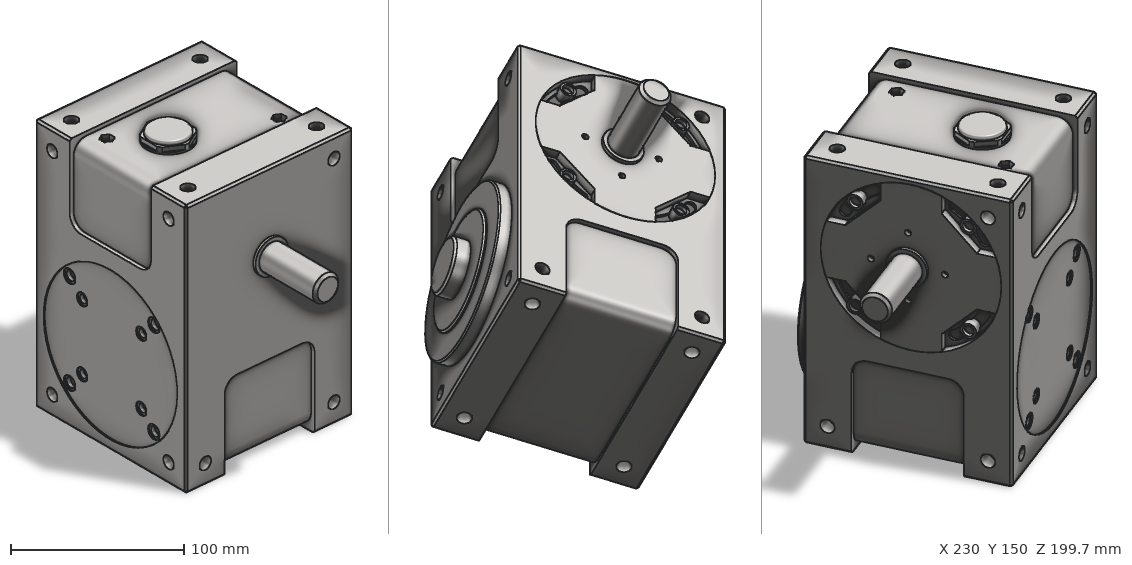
import cadquery as cq
import math

body_width = 130.0
body_height = 195.0
half_width = body_width / 2
edge_chamfer = 1.5
output_axis_z = 65.0
input_axis_z = 135.0

relief_width = 70.0
relief_depth = 3.0
relief_corner_radius = 10.0
relief_edge_radius = 10.0
relief_length = 60.0
top_relief_floor_z = body_height - relief_length
bottom_relief_ceiling_z = 65.0

mount_radius = 4.5
mount_depth = 15.0
mount_inset = 15.0
mount_offset = half_width - mount_inset

shaft_length = 230.0
shaft_radius = 10.0
shaft_chamfer = 2.0
collar_radius = 12.75
collar_height = 2.0

eccentric_y = -2.0
eccentric_radius = 56.25
eccentric_recess = 0.3
ear_inner = 19.0
ear_chord_distance = 42.4
ear_depth = 6.0
slot_radius = 50.0
slot_half_angle = 15.5
slot_width = 7.0
slot_depth = 2.0
clamp_head_radius = 5.0
clamp_head_height = 5.0
clamp_socket_radius = 3.5
clamp_socket_depth = 3.0
seal_cap_radius = 27.75
seal_bore_radius = 19.25
seal_hole_radius = 23.0
seal_hole_diameter = 4.0
seal_hole_depth = 4.0

cover_radius = 57.5
cover_recess = 1.0
cover_cap_radius = 42.0
outer_screw_offset = 36.2
inner_screw_offset = 25.4
outer_screw_diameter = 10.0
inner_screw_diameter = 9.0
outer_socket_diameter = 7.0
inner_socket_diameter = 6.0
screw_sink = 1.0
socket_depth = 4.0

flange_radius = 55.0
flange_height = 8.0
flange_chamfer = 1.0
ring_radius = 37.5
ring_height = 10.0
ring_chamfer = 1.2
output_boss_radius = 18.0
output_boss_height = 20.0
output_boss_chamfer = 1.5

top_plane_z = body_height - relief_depth
breather_y = -20.0
breather_top_z = 199.7
breather_base_radius = 16.5
breather_base_height = 1.5
breather_hex_flats = 30.0
breather_hex_height = 4.8
breather_cap_radius = 14.2
breather_cap_fillet = 2.2
plug_radius = 8.5
plug_hex_flats = 8.0
plug_hex_depth = 5.0
plug_centers = [(25.0, 43.5), (-25.0, -45.0)]

insert_thickness = 1.0

SIGNS = (-1, 1)


def cylinder(radius, length, start, direction):
    return cq.Workplane(obj=cq.Solid.makeCylinder(radius, length, cq.Vector(*start), cq.Vector(*direction)))


def keep_seam(solid, region):
    """Split the faces along the rim of a flush insert; the shape itself stays the same."""
    insert = solid.intersect(region, clean=False)
    return solid.cut(region, clean=False).union(insert, clean=False)


def make_body():
    """Chamfered block with a relief band over the top and another under the bottom."""
    block = (
        cq.Workplane("XY")
        .box(body_width, body_width, body_height, centered=(True, True, False))
        .edges()
        .chamfer(edge_chamfer)
    )
    core_width = body_width - 2 * relief_depth
    core_height = body_height - 2 * relief_depth
    core = cq.Workplane("XY").workplane(offset=relief_depth)
    core = core.box(core_width, core_width, core_height, centered=(True, True, False))
    top_core = core.edges("|X and >Z").fillet(relief_edge_radius)
    bottom_core = core.edges("|Y and <Z").fillet(relief_edge_radius)

    overrun = 2 * relief_corner_radius
    band_length = relief_length + overrun
    top_band = (
        cq.Workplane("XZ")
        .center(0, top_relief_floor_z + band_length / 2)
        .rect(relief_width, band_length)
        .extrude(body_width, both=True)
        .edges("|Y and <Z")
        .fillet(relief_corner_radius)
    )
    bottom_band_length = bottom_relief_ceiling_z + overrun
    bottom_band = (
        cq.Workplane("YZ")
        .center(0, bottom_relief_ceiling_z - bottom_band_length / 2)
        .rect(relief_width, bottom_band_length)
        .extrude(body_width, both=True)
        .edges("|X and >Z")
        .fillet(relief_corner_radius)
    )
    return block.cut(top_band.cut(top_core)).cut(bottom_band.cut(bottom_core))


def cut_mounting_holes(solid):
    """Four holes on each of the six faces; the three at every corner meet."""
    for a in SIGNS:
        for b in SIGNS:
            x = a * mount_offset
            y = b * mount_offset
            for z, face_z, inward in ((mount_inset, 0, 1), (body_height - mount_inset, body_height, -1)):
                y_hole = cylinder(mount_radius, mount_depth, (x, b * half_width, z), (0, -b, 0))
                x_hole = cylinder(mount_radius, mount_depth, (a * half_width, y, z), (-a, 0, 0))
                z_hole = cylinder(mount_radius, mount_depth, (x, y, face_z), (0, 0, inward))
                corner_holes = y_hole.union(x_hole, clean=False).union(z_hole, clean=False)
                solid = solid.cut(corner_holes, clean=False)
    return solid


def side_plane(depth):
    """Sketch plane on the -X face at a depth below it; local x is -Y, local y is Z."""
    return cq.Plane(
        origin=(-half_width + depth, eccentric_y, input_axis_z), xDir=(0, -1, 0), normal=(-1, 0, 0)
    )


def clamp_slot():
    """Curved clamping slot centred on the +45 degree diagonal of the eccentric housing."""
    def at(radius, angle):
        return (radius * math.cos(math.radians(angle)), radius * math.sin(math.radians(angle)))

    first = 45 - slot_half_angle
    last = 90 - first
    inner = slot_radius - slot_width / 2
    outer = slot_radius + slot_width / 2
    step = math.degrees(slot_width / 2 / slot_radius)
    return (
        cq.Workplane(side_plane(ear_depth + slot_depth))
        .moveTo(*at(outer, first))
        .threePointArc(at(outer, 45), at(outer, last))
        .threePointArc(at(slot_radius, last + step), at(inner, last))
        .threePointArc(at(inner, 45), at(inner, first))
        .threePointArc(at(slot_radius, first - step), at(outer, first))
        .close()
        .extrude(slot_depth)
    )


def make_ear_cutter():
    """Recess of the eccentric disc, deepened at four ears outside a cross-shaped plateau."""
    corner = ear_chord_distance * math.sqrt(2) - ear_inner
    outside = eccentric_radius + ear_inner
    quadrant = [(outside, ear_inner), (corner, ear_inner), (ear_inner, corner), (ear_inner, outside)]
    outline = []
    for quarter in range(4):
        cosine = round(math.cos(math.radians(90 * quarter)))
        sine = round(math.sin(math.radians(90 * quarter)))
        for u, v in quadrant:
            outline.append((u * cosine - v * sine, u * sine + v * cosine))
    plateau = cq.Workplane(side_plane(ear_depth)).polyline(outline).close()
    plateau = plateau.extrude(ear_depth - eccentric_recess)
    disc = cq.Workplane(side_plane(ear_depth)).circle(eccentric_radius).extrude(ear_depth)
    return disc.cut(plateau)


def make_clamp_screw():
    """Socket head screw standing in the +45 degree ear."""
    offset = slot_radius / math.sqrt(2)
    head = (
        cq.Workplane(side_plane(ear_depth + slot_depth))
        .center(offset, offset)
        .circle(clamp_head_radius)
        .extrude(slot_depth + clamp_head_height)
    )
    socket = (
        cq.Workplane(side_plane(ear_depth - clamp_head_height + clamp_socket_depth))
        .center(offset, offset)
        .circle(clamp_socket_radius)
        .extrude(clamp_socket_depth)
    )
    return head.cut(socket)


def add_eccentric_housing(solid):
    """Eccentric disc with four slotted ears, clamping screws and seal cap holes."""
    solid = solid.cut(make_ear_cutter())
    slot = clamp_slot()
    screw = make_clamp_screw()
    center = (0, eccentric_y, input_axis_z)
    axis_end = (1, eccentric_y, input_axis_z)
    for quarter in range(4):
        solid = solid.cut(slot.rotate(center, axis_end, 90 * quarter))
        solid = solid.union(screw.rotate(center, axis_end, 90 * quarter))
    for quarter in range(4):
        angle = math.radians(90 * quarter)
        y = seal_hole_radius * math.cos(angle)
        z = input_axis_z + seal_hole_radius * math.sin(angle)
        hole = cylinder(seal_hole_diameter / 2, seal_hole_depth, (-half_width, y, z), (1, 0, 0))
        solid = solid.cut(hole)
    return solid


def add_shaft(solid):
    """Input shaft through the body with a collar at each side."""
    shaft = (
        cylinder(shaft_radius, shaft_length, (-shaft_length / 2, 0, input_axis_z), (1, 0, 0))
        .faces("<X or >X")
        .chamfer(shaft_chamfer)
    )
    collar_span = body_width + 2 * collar_height
    collar = cylinder(collar_radius, collar_span, (-collar_span / 2, 0, input_axis_z), (1, 0, 0))
    return solid.union(collar).union(shaft)


def add_cover(solid):
    """Recessed round cover on the -Y face with two rings of sunk cap screws."""
    solid = solid.cut(cylinder(cover_radius, cover_recess, (0, -half_width, output_axis_z), (0, 1, 0)))
    face_y = -half_width + cover_recess
    screws = (
        (outer_screw_offset, outer_screw_diameter, outer_socket_diameter),
        (inner_screw_offset, inner_screw_diameter, inner_socket_diameter),
    )
    for offset, diameter, socket in screws:
        for a in SIGNS:
            for b in SIGNS:
                x = a * offset
                z = output_axis_z + b * offset
                solid = solid.cut(cylinder(diameter / 2, screw_sink, (x, face_y, z), (0, 1, 0)))
                solid = solid.cut(cylinder(socket / 2, socket_depth, (x, face_y, z), (0, 1, 0)))
    return solid


def add_output_flange(solid):
    """Stepped output flange, every step chamfered at its outer rim."""
    steps = (
        (flange_radius, flange_height, flange_chamfer),
        (ring_radius, ring_height, ring_chamfer),
        (output_boss_radius, output_boss_height, output_boss_chamfer),
    )
    for radius, height, chamfer in steps:
        step = cylinder(radius, height, (0, half_width, output_axis_z), (0, 1, 0))
        solid = solid.union(step.faces(">Y").chamfer(chamfer))
    return solid


def add_breather(solid):
    """Breather: round base, hexagon with turned corners and a rounded cap."""
    start = (0, breather_y, top_plane_z)
    base = cylinder(breather_base_radius, breather_base_height, start, (0, 0, 1))
    hexagon = (
        cq.Workplane("XY", origin=start)
        .polygon(6, breather_hex_flats / math.cos(math.pi / 6))
        .extrude(breather_hex_height)
        .intersect(cylinder(breather_base_radius, breather_hex_height, start, (0, 0, 1)))
    )
    cap = cylinder(breather_cap_radius, breather_top_z - top_plane_z, start, (0, 0, 1))
    cap = cap.faces(">Z").edges().fillet(breather_cap_fillet)
    return solid.union(base).union(hexagon).union(cap)


def cut_plug_sockets(solid):
    """Hexagon sockets of the two flush oil plugs."""
    for x, y in plug_centers:
        socket = cq.Workplane("XY", origin=(x, y, top_plane_z))
        socket = socket.polygon(6, plug_hex_flats / math.cos(math.pi / 6)).extrude(-plug_hex_depth)
        solid = solid.cut(socket)
    return solid


def add_seams(solid):
    """Rims of the flush inserts: seal cap, seal, cover cap and oil plugs."""
    disc_face = (-half_width + eccentric_recess, 0, input_axis_z)
    cover_face = (0, -half_width + cover_recess, output_axis_z)
    seams = [
        cylinder(seal_cap_radius, insert_thickness, disc_face, (1, 0, 0)),
        cylinder(seal_bore_radius, insert_thickness, disc_face, (1, 0, 0)),
        cylinder(cover_cap_radius, insert_thickness, cover_face, (0, 1, 0)),
    ]
    for x, y in plug_centers:
        seams.append(cylinder(plug_radius, insert_thickness, (x, y, top_plane_z), (0, 0, -1)))
    for region in seams:
        solid = keep_seam(solid, region)
    return solid


result = make_body()
result = add_eccentric_housing(result)
result = add_shaft(result)
result = add_cover(result)
result = add_output_flange(result)
result = add_breather(result)
result = cut_plug_sockets(result)
result = add_seams(result)
result = cut_mounting_holes(result)